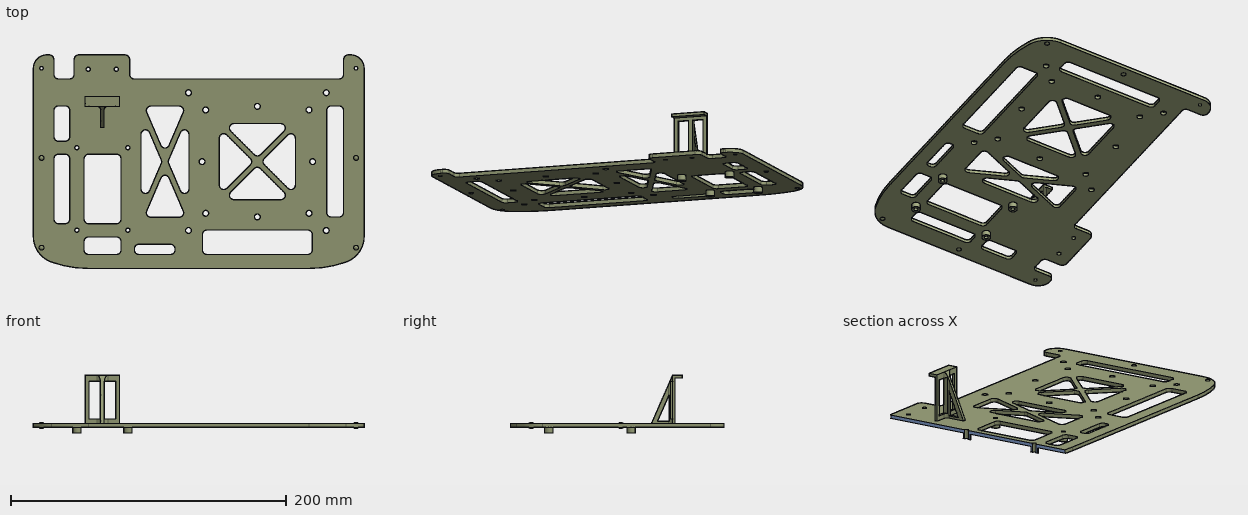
import cadquery as cq
import math


plate_length = 240.0
plate_depth = 155.0
plate_thickness = 3.0
front_corner_radius = 20.0
front_blend_radius = 80.0
front_blend_length = 40.0
rear_corner_radius = 10.0
notch_depth = 17.5
ear_width = 15.0
tab_left = 29.5
tab_right = 70.0
tip_radius = 3.8
cutout_radius = 3.0

side_slot_left = 15.0
left_slot_width = 11.3
right_slot_width = 12.0
slot_rear = 117.8
right_slot_front = 37.5
rear_slot_front = 92.5
bay_rear = 82.8
bay_front = 32.6
bay_left = 37.0
bay_right = 63.5
front_row_front = 10.3
small_window_rear = 22.8
narrow_slot_left = 73.5
narrow_slot_right = 102.7
narrow_slot_rear = 17.5
wide_window_width = 79.5
wide_window_rear = 27.8

brace_width = 4.0
brace_center_y = 77.5
square_center_x = 162.5
square_side = 55.0
tall_center_x = 95.5
tall_width = 34.5
tall_height = 80.5

mount_hole_diameter = 4.0
mount_axis_offset = 40.0
inner_square_offset = 37.5
outer_square_offset = 50.0
tab_hole_diameter = 3.0
tab_hole_xs = (39.8, 60.2)
tab_hole_y = 144.5
ear_hole_diameter = 2.5
side_inset = 6.0
ball_radius = 2.28
ball_first_y = 15.0
side_pitch = 65.0

stand_center_x = 50.2
stand_pitch_x = 37.0
stand_front_y = 27.8
stand_rear_y = 87.5
stand_diameter = 6.2
stand_hole_diameter = 3.0
stand_height = 4.0

bracket_width = 25.0
bracket_height = 35.0
wall_front_y = 117.5
wall_thickness = 2.0
flange_depth = 7.2
flange_thickness = 2.2
wall_bar_width = 3.0
wall_bottom_bar = 3.4
wall_top_bar = 4.5
center_post_width = 3.0
gusset_length = 15.4
gusset_thickness = 2.5
gusset_fillet = 3.0
gusset_post_depth = 2.5
gusset_base_height = 1.7
strut_width = 3.8

bracket_left = stand_center_x - bracket_width / 2


def plate_block(left, right, front, rear):
    """Rectangular block through the plate thickness."""
    return cq.Workplane("XY").box(right - left, rear - front, plate_thickness, centered=False).translate(
        (left, front, 0)
    )


def rounded_cutout(left, right, front, rear):
    return plate_block(left, right, front, rear).edges("|Z").fillet(cutout_radius)


def braced_opening(center_x, width, height):
    """Rectangular opening that keeps a brace along each diagonal."""
    opening = cq.Workplane("XY").box(width, height, plate_thickness)
    brace_length = 2 * math.hypot(width, height)
    slope = math.degrees(math.atan2(height, width))
    for angle in (slope, -slope):
        brace = cq.Workplane("XY").box(brace_length, brace_width, plate_thickness)
        opening = opening.cut(brace.rotate((0, 0, 0), (0, 0, 1), angle))
    opening = opening.edges("|Z").fillet(cutout_radius)
    return opening.translate((center_x, brace_center_y, plate_thickness / 2))


def drill(body, points, diameter):
    drills = cq.Workplane("XY").pushPoints(points).circle(diameter / 2)
    return body.cut(drills.extrude(plate_thickness))


def make_blank():
    """Plate outline: two-radius front corners, ears and a tab along the rear."""
    center_gap = front_blend_radius - front_corner_radius
    sin_joint = (front_blend_length - front_corner_radius) / center_gap
    joint_angle = math.asin(sin_joint)
    cos_joint = math.cos(joint_angle)
    joint_x = front_blend_length - front_blend_radius * sin_joint
    joint_y = front_blend_radius * (1 - cos_joint)
    corner_center_y = front_blend_radius - center_gap * cos_joint
    blend_mid_x = front_blend_length - front_blend_radius * math.sin(joint_angle / 2)
    blend_mid_y = front_blend_radius * (1 - math.cos(joint_angle / 2))
    corner_mid_angle = (joint_angle + math.pi / 2) / 2
    corner_mid_x = front_corner_radius * (1 - math.sin(corner_mid_angle))
    corner_mid_y = corner_center_y - front_corner_radius * math.cos(corner_mid_angle)

    blank = (
        cq.Workplane("XY")
        .moveTo(front_blend_length, 0)
        .lineTo(plate_length - front_blend_length, 0)
        .threePointArc((plate_length - blend_mid_x, blend_mid_y), (plate_length - joint_x, joint_y))
        .threePointArc((plate_length - corner_mid_x, corner_mid_y), (plate_length, corner_center_y))
        .lineTo(plate_length, plate_depth)
        .lineTo(0, plate_depth)
        .lineTo(0, corner_center_y)
        .threePointArc((corner_mid_x, corner_mid_y), (joint_x, joint_y))
        .threePointArc((blend_mid_x, blend_mid_y), (front_blend_length, 0))
        .close()
        .extrude(plate_thickness)
    )
    blank = blank.edges("|Z and >Y").fillet(rear_corner_radius)

    notch_floor = plate_depth - notch_depth
    for left, right in ((ear_width, tab_left), (tab_right, plate_length - ear_width)):
        blank = blank.cut(plate_block(left, right, notch_floor, plate_depth))
        for x in (left, right):
            tip = cq.selectors.NearestToPointSelector((x, plate_depth, plate_thickness / 2))
            root = cq.selectors.NearestToPointSelector((x, notch_floor, plate_thickness / 2))
            blank = blank.edges("|Z").edges(tip).fillet(tip_radius)
            blank = blank.edges("|Z").edges(root).fillet(cutout_radius)
    return blank


def cut_openings(plate):
    left_slot_right = side_slot_left + left_slot_width
    right_slot_right = plate_length - side_slot_left
    half_wide = wide_window_width / 2
    windows = (
        (side_slot_left, left_slot_right, rear_slot_front, slot_rear),
        (side_slot_left, left_slot_right, bay_front, bay_rear),
        (right_slot_right - right_slot_width, right_slot_right, right_slot_front, slot_rear),
        (bay_left, bay_right, bay_front, bay_rear),
        (bay_left, bay_right, front_row_front, small_window_rear),
        (narrow_slot_left, narrow_slot_right, front_row_front, narrow_slot_rear),
        (square_center_x - half_wide, square_center_x + half_wide, front_row_front, wide_window_rear),
    )
    for window in windows:
        plate = plate.cut(rounded_cutout(*window))
    plate = plate.cut(braced_opening(square_center_x, square_side, square_side))
    return plate.cut(braced_opening(tall_center_x, tall_width, tall_height))


def drill_holes(plate):
    offsets = [(mount_axis_offset, 0), (-mount_axis_offset, 0), (0, mount_axis_offset), (0, -mount_axis_offset)]
    for reach in (inner_square_offset, outer_square_offset):
        offsets += [(sx * reach, sy * reach) for sx in (-1, 1) for sy in (-1, 1)]
    mounts = [(square_center_x + dx, brace_center_y + dy) for dx, dy in offsets]
    plate = drill(plate, mounts, mount_hole_diameter)
    plate = drill(plate, [(x, tab_hole_y) for x in tab_hole_xs], tab_hole_diameter)

    ear_hole_y = ball_first_y + 2 * side_pitch
    ears = [(x, ear_hole_y) for x in (side_inset, plate_length - side_inset)]
    return drill(plate, ears, ear_hole_diameter)


def add_balls(plate):
    """Balls set in the plate, showing as a dome on both faces."""
    for x in (side_inset, plate_length - side_inset):
        for y in (ball_first_y, ball_first_y + side_pitch):
            ball = cq.Workplane("XY").sphere(ball_radius)
            plate = plate.union(ball.translate((x, y, plate_thickness / 2)))
    return plate


def add_standoffs(plate):
    """Hollow standoffs under the plate, their bores passing through it."""
    half_pitch = stand_pitch_x / 2
    points = [
        (stand_center_x + side * half_pitch, y) for side in (-1, 1) for y in (stand_front_y, stand_rear_y)
    ]
    base = cq.Workplane("XY").workplane(offset=-stand_height).pushPoints(points)
    full_height = stand_height + plate_thickness
    plate = plate.union(base.circle(stand_diameter / 2).extrude(full_height))
    return plate.cut(base.circle(stand_hole_diameter / 2).extrude(full_height))


def make_gusset():
    """Sloped brace in front of the wall, blended into it by fillets."""
    half = gusset_thickness / 2
    root = half + gusset_fillet
    bulge = gusset_fillet * (1 - math.sqrt(0.5))
    profile = (
        cq.Workplane("XY")
        .moveTo(-root, 0)
        .threePointArc((-half - bulge, -bulge), (-half, -gusset_fillet))
        .lineTo(-half, -gusset_length)
        .lineTo(half, -gusset_length)
        .lineTo(half, -gusset_fillet)
        .threePointArc((half + bulge, -bulge), (root, 0))
        .close()
        .extrude(bracket_height)
    )
    side = cq.Workplane("YZ").polyline([(0, 0), (-gusset_length, 0), (0, bracket_height)]).close()
    gusset = profile.intersect(side.extrude(root, both=True))

    slope = bracket_height / gusset_length
    inner_foot = gusset_length - strut_width
    window_front = inner_foot - gusset_base_height / slope
    window_top = (inner_foot - gusset_post_depth) * slope
    window = (
        cq.Workplane("YZ")
        .polyline(
            [
                (-gusset_post_depth, gusset_base_height),
                (-window_front, gusset_base_height),
                (-gusset_post_depth, window_top),
            ]
        )
        .close()
        .extrude(root, both=True)
    )
    return gusset.cut(window).translate((stand_center_x, wall_front_y, plate_thickness))


def make_bracket():
    """Upright wall with a rear flange, a front gusset and two windows."""
    wall = cq.Workplane("XY").box(bracket_width, wall_thickness, bracket_height, centered=False)
    flange = cq.Workplane("XY").box(bracket_width, flange_depth, flange_thickness, centered=False)
    bracket = wall.union(flange.translate((0, 0, bracket_height - flange_thickness)))
    bracket = bracket.translate((bracket_left, wall_front_y, plate_thickness)).union(make_gusset())

    window_width = (bracket_width - center_post_width) / 2 - wall_bar_width
    window_height = bracket_height - wall_bottom_bar - wall_top_bar
    window_depth = gusset_length + wall_thickness
    window = cq.Workplane("XY").box(window_width, window_depth, window_height, centered=False)
    first_left = bracket_left + wall_bar_width
    for left in (first_left, first_left + window_width + center_post_width):
        corner = (left, wall_front_y - gusset_length, plate_thickness + wall_bottom_bar)
        bracket = bracket.cut(window.translate(corner))
    return bracket


plate = make_blank()
plate = cut_openings(plate)
plate = drill_holes(plate)
plate = add_balls(plate)
plate = add_standoffs(plate)
result = plate.union(make_bracket())